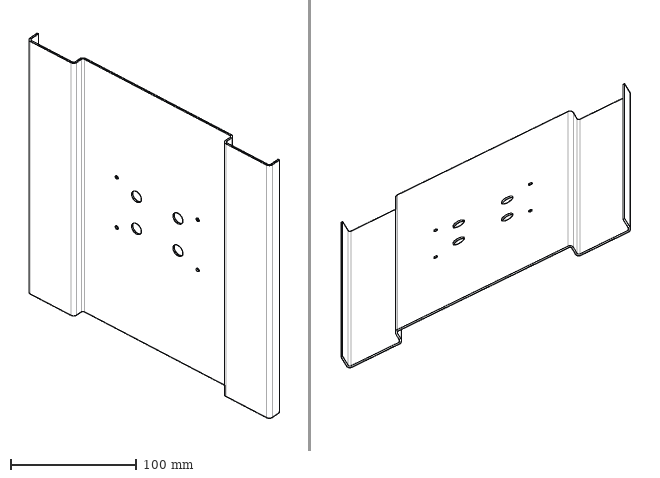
import cadquery as cq

width = 257.0
depth = 12.0
height = 251.0

thickness = 1.5
inner_bend_radius = 1.67
outer_bend_radius = inner_bend_radius + thickness
channel_width = 49.5

large_hole_diameter = 10.3
large_hole_spacing_x = 44.0
large_hole_spacing_z = 32.0
small_hole_diameter = 3.0
small_hole_spacing_x = 85.9
small_hole_spacing_z = 50.0


def upright_block(x_start, x_end, y_start, y_end):
    """Full-height block between two X and two Y positions, given in any order."""
    block = cq.Workplane("XY").box(abs(x_end - x_start), abs(y_end - y_start), height)
    return block.translate(((x_start + x_end) / 2, (y_start + y_end) / 2, 0))


def bent_sheet():
    """Raised middle panel with a channel along each side, bent from one sheet."""
    lip_outside = width / 2
    lip_inside = lip_outside - thickness
    web_inside = lip_outside - channel_width
    web_outside = web_inside + thickness
    back = depth / 2
    front = -depth / 2

    sheet = upright_block(-web_outside, web_outside, back - thickness, back)
    for side in (-1, 1):
        web = upright_block(side * web_inside, side * web_outside, front, back)
        floor = upright_block(side * web_inside, side * lip_outside, front, front + thickness)
        lip = upright_block(side * lip_inside, side * lip_outside, front, back)
        sheet = sheet.union(web).union(floor).union(lip)

    bends = (
        (lip_outside, front, lip_inside, front + thickness),
        (web_inside, front, web_outside, front + thickness),
        (web_outside, back, web_inside, back - thickness),
    )
    for outer_x, outer_y, inner_x, inner_y in bends:
        for side in (-1, 1):
            sheet = round_corner(sheet, side * outer_x, outer_y, outer_bend_radius)
            sheet = round_corner(sheet, side * inner_x, inner_y, inner_bend_radius)
    return sheet


def round_corner(body, x, y, radius):
    """Fillet the vertical edge that stands at (x, y)."""
    edge = cq.selectors.NearestToPointSelector((x, y, 0))
    return body.edges("|Z").edges(edge).fillet(radius)


def hole_pattern(diameter, spacing_x, spacing_z):
    """Four pins along Y, at the corners of a rectangle, for cutting the holes."""
    pins = cq.Workplane("XZ").rect(spacing_x, spacing_z, forConstruction=True).vertices()
    return pins.circle(diameter / 2).extrude(depth / 2, both=True)


result = (
    bent_sheet()
    .cut(hole_pattern(large_hole_diameter, large_hole_spacing_x, large_hole_spacing_z))
    .cut(hole_pattern(small_hole_diameter, small_hole_spacing_x, small_hole_spacing_z))
)